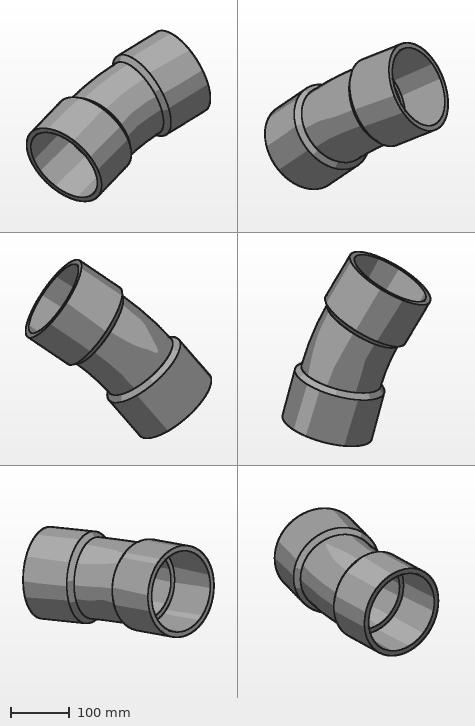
import cadquery as cq
import math

socket_diameter = 158.0
socket_bore = 140.0
pipe_diameter = 140.2
pipe_bore = 122.5
socket_length = 87.0
taper_length = 9.3
bend_angle = 15.0
bend_radius = 456.0

end_length = socket_length + taper_length
bend_rise = bend_radius * math.sin(math.radians(bend_angle))
bend_shift = bend_radius * (1 - math.cos(math.radians(bend_angle)))


def socket_body():
    """Solid socket along +Y, mouth at the origin, tapering down to the pipe."""
    return (
        cq.Workplane("XY")
        .polyline([
            (0, 0),
            (socket_diameter / 2, 0),
            (socket_diameter / 2, socket_length),
            (pipe_diameter / 2, end_length),
            (0, end_length),
        ])
        .close()
        .revolve(360, (0, 0, 0), (0, 1, 0))
    )


def socket_cavity():
    """Bore of a socket along +Y, mouth at the origin."""
    return cq.Workplane("XZ").circle(socket_bore / 2).extrude(-socket_length)


def bend(diameter):
    """Solid bend rising from the lower socket floor and curving toward +X."""
    return (
        cq.Workplane("XZ", origin=(0, socket_length, 0))
        .circle(diameter / 2)
        .revolve(bend_angle, (bend_radius, 3, 0), (bend_radius, 0, 0))
    )


def at_upper_end(part):
    """Turn a lower socket shape around and place it on the far end of the bend."""
    return (
        part.rotate((0, 0, 0), (0, 0, 1), 180)
        .translate((0, socket_length, 0))
        .rotate((0, 0, 0), (0, 0, 1), -bend_angle)
        .translate((bend_shift, socket_length + bend_rise, 0))
    )


outside = bend(pipe_diameter).union(socket_body()).union(at_upper_end(socket_body()))

result = (
    outside.cut(bend(pipe_bore))
    .cut(socket_cavity())
    .cut(at_upper_end(socket_cavity()))
)